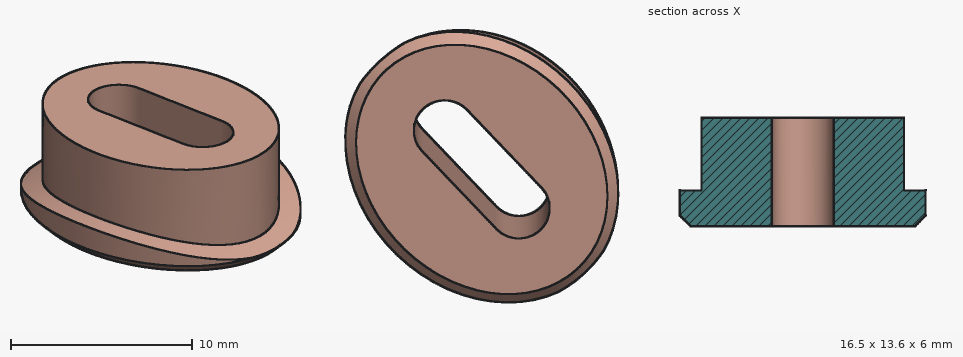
import cadquery as cq

TOTAL_HEIGHT = 6.0

FLANGE_LENGTH = 16.6
FLANGE_WIDTH = 13.6
FLANGE_CROWN_HEIGHT = 2.0
CROWN_RADIUS = 23.75
CHAMFER = 0.6

BOSS_LENGTH = 14.2
BOSS_WIDTH = 11.2

SLOT_LENGTH = 9.4
SLOT_WIDTH = 3.4


def oval_prism(length, width, height):
    """Elliptical prism standing on the XY plane."""
    return cq.Workplane("XY").ellipse(length / 2, width / 2).extrude(height)


def make_flange():
    """Oval flange, bevelled below and domed along X on top."""
    oval = oval_prism(FLANGE_LENGTH, FLANGE_WIDTH, FLANGE_CROWN_HEIGHT)
    bevelled = oval.faces("<Z").edges().chamfer(CHAMFER)
    crown = (
        cq.Workplane("XZ")
        .center(0, FLANGE_CROWN_HEIGHT - CROWN_RADIUS)
        .circle(CROWN_RADIUS)
        .extrude(FLANGE_WIDTH, both=True)
    )
    return bevelled.intersect(crown)


def make_boss():
    """Oval boss rising through the flange to the flat top."""
    return oval_prism(BOSS_LENGTH, BOSS_WIDTH, TOTAL_HEIGHT)


def make_slot():
    """Round-ended slot running the full height."""
    return cq.Workplane("XY").slot2D(SLOT_LENGTH, SLOT_WIDTH).extrude(TOTAL_HEIGHT)


result = make_flange().union(make_boss()).cut(make_slot())